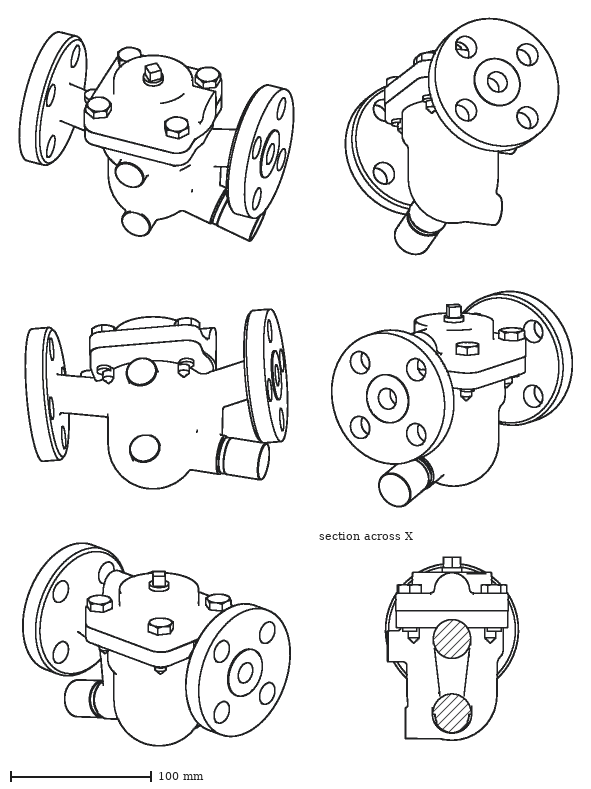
import cadquery as cq
import math


face_to_face = 175.0
flange_diameter = 95.0
flange_thickness = 14.8
flange_chamfer = 2.2
raised_face_diameter = 34.9
raised_face_height = 1.0
bore_diameter = 15.0
flange_hole_diameter = 16.0
flange_hole_pitch = 47.2
pipe_diameter = 27.0
inlet_pipe_tilt = 11.0
outlet_pipe_tilt = 15.0
pipe_insertion = 5.0
flange_root_fillet = 2.0
inlet_root_fillet = 5.0
outlet_root_fillet = 4.0

body_x = -2.5
chamber_radius = 36.5
bowl_radius = 32.2
chamber_bottom_z = -14.8
neck_middle_z = -18.7
bowl_top_z = -25.2
bowl_center_z = -46.7

body_plate_bottom_z = 1.5
joint_z = 13.5
cover_top_z = 26.3
body_plate_half_width = 39.8
cover_half_width = 40.0
plate_corner_radius = 10.0
plate_fillet = 1.0
cover_side_bow = 0.7
cover_bulge = 5.2
body_plate_bulge = 3.2
bulge_radius = 39.6
bulge_blend_radius = 14.0

drum_diameter = 56.5
drum_top_z = 41.2
drum_edge_fillet = 1.2
drum_root_fillet = 1.7
passage_radius = 12.5
passage_top_z = 40.7
passage_root_fillet = 2.8
collar_diameter = 14.0
collar_top_z = 44.2
spindle_square = 8.7
spindle_top_z = 51.95

bolt_offset = 30.0
bolt_head_flats = 16.0
bolt_head_height = 6.0
bolt_head_chamfer_angle = 30.0
bolt_pad_diameter = 10.0
bolt_pad_bottom_z = -1.0
thread_boss_offset = 27.3
thread_boss_radius = 4.0
thread_boss_shoulder_z = -5.7
thread_boss_tip_z = -9.6

lug_width = 12.2
lug_tip_x = -54.7
lug_top_z = 13.3

plug_diameter = 22.0
plug_edge_chamfer = 0.6
plug_root_fillet = 2.8
upper_plug_z = -11.8
upper_plug_y = -46.2
lower_plug_z = -66.7
lower_plug_y = -33.5

strainer_tilt = 15.0
strainer_end_x = 77.9
strainer_end_z = -68.27
strainer_body_diameter = 28.0
strainer_plug_diameter = 26.5
strainer_collar_diameter = 26.0
strainer_neck_diameter = 24.5
strainer_plug_length = 26.3
strainer_collar_length = 3.5
strainer_neck_length = 1.5
strainer_total_length = 75.0
strainer_edge_chamfer = 0.5
strainer_root_fillet = 4.0
web_top_half_width = 13.0
web_bottom_half_width = 7.5
web_end_x = 46.8
web_corner_radius = 4.4
web_top_z = -9.0
web_bottom_z = -56.0
web_root_fillet = 1.9

same_point_tolerance = 0.001
hex_half_angle = 30.0
spindle_turn = 45.0

flange_face_x = face_to_face / 2 - raised_face_height
flange_back_x = flange_face_x - flange_thickness


def rod(start, direction, length, diameter):
    """Solid cylinder from a start point along a direction."""
    return cq.Workplane(
        cq.Solid.makeCylinder(diameter / 2, length, cq.Vector(*start), cq.Vector(*direction))
    )


def blend(part, added, radius):
    """Join two solids and round the edges along which they meet."""
    known = [edge.positionAt(0.5) for edge in part.edges().vals() + added.edges().vals()]
    joined = part.union(added)
    meeting = joined.edges().filter(
        lambda edge: all((edge.positionAt(0.5) - point).Length > same_point_tolerance for point in known)
    )
    return meeting.fillet(radius)


def revolved_about_body(profile):
    """Full turn of an XZ profile, drawn with x = radius, about the body's vertical axis."""
    return profile.close().revolve(360, (0, 0, 0), (0, 1, 0)).translate((body_x, 0, 0))


def make_bowl():
    narrowing = chamber_radius - bowl_radius
    share = (chamber_bottom_z - neck_middle_z) / (chamber_bottom_z - bowl_top_z)
    half = bowl_radius * math.sqrt(0.5)
    return revolved_about_body(
        cq.Workplane("XZ")
        .moveTo(0, joint_z)
        .lineTo(chamber_radius, joint_z)
        .lineTo(chamber_radius, chamber_bottom_z)
        .tangentArcPoint((chamber_radius - share * narrowing, neck_middle_z), relative=False)
        .tangentArcPoint((bowl_radius, bowl_top_z), relative=False)
        .lineTo(bowl_radius, bowl_center_z)
        .threePointArc((half, bowl_center_z - half), (0, bowl_center_z - bowl_radius))
    )


def make_pipe(side, tilt):
    """Pipe falling from inside the flange on one side (-1 or +1) to the body axis."""
    angle = math.radians(tilt)
    start_x = flange_back_x + pipe_insertion
    length = (start_x - side * body_x) / math.cos(angle)
    direction = (-side * math.cos(angle), 0, -math.sin(angle))
    start = (side * start_x, 0, pipe_insertion * math.tan(angle))
    return rod(start, direction, length, pipe_diameter)


def make_flange(side):
    disc = (
        rod((flange_back_x, 0, 0), (1, 0, 0), flange_thickness, flange_diameter)
        .faces("<X").edges().chamfer(flange_chamfer)
    )
    face = rod((flange_face_x, 0, 0), (1, 0, 0), raised_face_height, raised_face_diameter)
    flange = disc.union(face)
    if side < 0:
        flange = flange.mirror("YZ")
    return flange


def cut_flange_holes(part, side):
    outer_x = side * face_to_face / 2
    depth = flange_thickness + raised_face_height
    inward = (-side, 0, 0)
    part = part.cut(rod((outer_x, 0, 0), inward, depth, bore_diameter))
    for y in (-flange_hole_pitch / 2, flange_hole_pitch / 2):
        for z in (-flange_hole_pitch / 2, flange_hole_pitch / 2):
            part = part.cut(rod((outer_x, y, z), inward, depth, flange_hole_diameter))
    return part


def make_plate(half, bottom_z, top_z, bulge, side_bow):
    """Rounded square plate, swollen on +X by a round of bulge_radius and bowed out on -X."""
    height = top_z - bottom_z
    outline = (
        cq.Workplane("XY")
        .moveTo(-half, -half)
        .lineTo(half, -half)
        .lineTo(half, half)
        .lineTo(-half, half)
    )
    if side_bow > 0:
        outline = outline.threePointArc((-half - side_bow, 0), (-half, -half))
    square = outline.close().extrude(height).edges("|Z").fillet(plate_corner_radius)
    swelling = rod((half + bulge - bulge_radius, 0, 0), (0, 0, 1), height, 2 * bulge_radius)
    plate = square.union(swelling)
    meeting_y = math.sqrt(bulge_radius**2 - (bulge_radius - bulge) ** 2)
    margin = 1.0
    meeting_edges = cq.selectors.BoxSelector(
        (half - margin, -meeting_y - margin, 0), (half + margin, meeting_y + margin, height)
    )
    plate = plate.edges("|Z").edges(meeting_edges).fillet(bulge_blend_radius)
    return plate.translate((body_x, 0, bottom_z))


def make_passage():
    """Round-topped passage with flared feet, from the drum to the swollen side of the cover."""
    flare_y = passage_radius + passage_root_fillet
    flare_z = cover_top_z + passage_root_fillet
    inset = passage_root_fillet * (1 - math.sqrt(0.5))
    section = (
        cq.Workplane("YZ", origin=(body_x, 0, 0))
        .moveTo(-flare_y, joint_z)
        .lineTo(-flare_y, cover_top_z)
        .threePointArc(
            (-passage_radius - inset, cover_top_z + inset), (-passage_radius, flare_z)
        )
        .threePointArc((0, passage_top_z), (passage_radius, flare_z))
        .threePointArc((passage_radius + inset, cover_top_z + inset), (flare_y, cover_top_z))
        .lineTo(flare_y, joint_z)
        .close()
        .extrude(cover_half_width + cover_bulge)
    )
    return section.intersect(make_plate(cover_half_width, joint_z, passage_top_z, cover_bulge, cover_side_bow))


def make_cover():
    plate = make_plate(cover_half_width, joint_z, cover_top_z, cover_bulge, cover_side_bow)
    plate = plate.faces(">Z").edges().fillet(plate_fillet)
    drum = rod((body_x, 0, joint_z), (0, 0, 1), drum_top_z - joint_z, drum_diameter)
    drum = drum.faces(">Z").edges().fillet(drum_edge_fillet)
    return blend(plate.union(make_passage()), drum, drum_root_fillet)


def make_spindle():
    collar = rod((body_x, 0, drum_top_z), (0, 0, 1), collar_top_z - drum_top_z, collar_diameter)
    square = (
        cq.Workplane("XY")
        .rect(spindle_square, spindle_square)
        .extrude(spindle_top_z - collar_top_z)
        .rotate((0, 0, 0), (0, 0, 1), spindle_turn)
        .translate((body_x, 0, collar_top_z))
    )
    return collar.union(square)


def make_bolt_head(turn):
    across_corners = bolt_head_flats / math.cos(math.radians(hex_half_angle))
    head = cq.Workplane("XY").polygon(6, across_corners).extrude(bolt_head_height)
    radial = (across_corners - bolt_head_flats) / 2
    axial = radial * math.tan(math.radians(bolt_head_chamfer_angle))
    blank = (
        cq.Workplane("XY").circle(across_corners / 2).extrude(bolt_head_height)
        .faces(">Z").edges().chamfer(axial, radial)
    )
    return head.intersect(blank).rotate((0, 0, 0), (0, 0, 1), turn)


def make_thread_boss():
    """Round boss with a conical lower end, drawn on its own axis."""
    return (
        cq.Workplane("XZ")
        .moveTo(0, body_plate_bottom_z)
        .lineTo(thread_boss_radius, body_plate_bottom_z)
        .lineTo(thread_boss_radius, thread_boss_shoulder_z)
        .lineTo(0, thread_boss_tip_z)
        .close()
        .revolve(360, (0, 0, 0), (0, 1, 0))
    )


def add_bolting(part):
    pad_height = body_plate_bottom_z - bolt_pad_bottom_z
    for side_x in (-1, 1):
        for side_y in (-1, 1):
            x = body_x + side_x * bolt_offset
            y = side_y * bolt_offset
            turn = hex_half_angle if side_x == side_y else 0
            part = part.union(make_bolt_head(turn).translate((x, y, cover_top_z)))
            part = part.union(rod((x, y, bolt_pad_bottom_z), (0, 0, 1), pad_height, bolt_pad_diameter))
            boss_x = body_x + side_x * thread_boss_offset
            boss_y = side_y * thread_boss_offset
            part = part.union(make_thread_boss().translate((boss_x, boss_y, 0)))
    return part


def make_lug():
    center_x = lug_tip_x + lug_width / 2
    length = body_x - body_plate_half_width - center_x
    round_end = rod((center_x, 0, 0), (0, 0, 1), lug_top_z, lug_width)
    bar = (
        cq.Workplane("XY").box(length, lug_width, lug_top_z, centered=(False, True, False))
        .translate((center_x, 0, 0))
    )
    return round_end.union(bar)


def make_plug(y, z):
    plug = rod((body_x, y, z), (0, 1, 0), -y, plug_diameter)
    return plug.faces("<Y").edges().chamfer(plug_edge_chamfer)


def make_strainer():
    angle = math.radians(strainer_tilt)
    inward = (-math.cos(angle), 0, math.sin(angle))

    def point(distance):
        return (strainer_end_x + distance * inward[0], 0, strainer_end_z + distance * inward[2])

    neck_start = strainer_plug_length + strainer_collar_length
    body_start = neck_start + strainer_neck_length
    plug = rod(point(0), inward, strainer_plug_length, strainer_plug_diameter)
    plug = plug.edges().chamfer(strainer_edge_chamfer)
    collar = rod(
        point(strainer_plug_length), inward, strainer_collar_length, strainer_collar_diameter
    )
    neck = rod(point(neck_start), inward, strainer_neck_length, strainer_neck_diameter)
    housing = rod(point(body_start), inward, strainer_total_length - body_start, strainer_body_diameter)
    return housing, plug.union(collar).union(neck)


def make_body_plate():
    plate = make_plate(body_plate_half_width, body_plate_bottom_z, joint_z, body_plate_bulge, 0)
    return plate.faces("<Z").edges().fillet(plate_fillet)


def make_web():
    """Web between outlet pipe and strainer, narrowing downwards."""
    return (
        cq.Workplane("YZ", origin=(body_x, 0, 0))
        .moveTo(-web_top_half_width, web_top_z)
        .lineTo(web_top_half_width, web_top_z)
        .lineTo(web_bottom_half_width, web_bottom_z)
        .lineTo(-web_bottom_half_width, web_bottom_z)
        .close()
        .extrude(web_end_x - body_x)
        .faces(">X").edges("not |Y").fillet(web_corner_radius)
    )


strainer_housing, strainer_plug = make_strainer()

body = make_bowl()
body = blend(body, make_pipe(-1, inlet_pipe_tilt), inlet_root_fillet)
body = blend(body, make_pipe(1, outlet_pipe_tilt), outlet_root_fillet)
body = blend(body, strainer_housing, strainer_root_fillet)
body = blend(body, make_plug(upper_plug_y, upper_plug_z), plug_root_fillet)
body = blend(body, make_plug(lower_plug_y, lower_plug_z), plug_root_fillet)
body = blend(body, make_web(), web_root_fillet)
body = body.union(make_body_plate()).union(make_lug()).union(strainer_plug)
for side in (-1, 1):
    body = blend(body, make_flange(side), flange_root_fillet)
    body = cut_flange_holes(body, side)

result = add_bolting(body.union(make_cover()).union(make_spindle()))